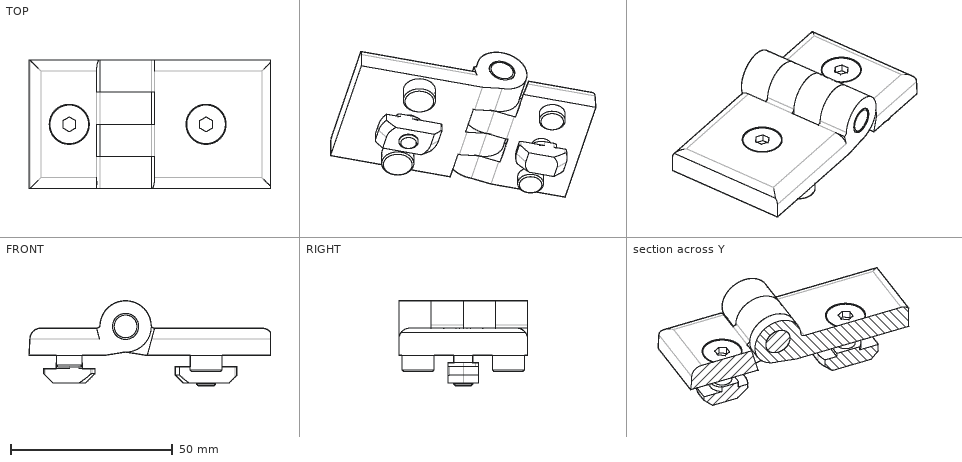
import cadquery as cq
import math


hinge_width = 40.0
hinge_height = 26.5
narrow_leaf_length = 30.0
wide_leaf_length = 45.0

leaf_thickness = 8.5
leaf_bottom = -9.0
leaf_top = leaf_bottom + leaf_thickness
edge_radius = 3.45
narrow_end_draft = 3.0
wide_end_flat_inset = 2.7
inner_edge = 9.0
inner_face_tilt = 15.0
inner_edge_bottom = inner_edge - leaf_thickness * math.tan(math.radians(inner_face_tilt))

barrel_diameter = 16.0
barrel_radius = barrel_diameter / 2
relief_half_width = 6.3
knuckle_count = 4
knuckle_length = hinge_width / knuckle_count
pin_diameter = 8.1
pin_chamfer = 0.5

barrel_blend_radius = (inner_edge**2 + leaf_top**2 - barrel_radius**2) / (2 * (barrel_radius - leaf_top))
blend_center_z = leaf_top + barrel_blend_radius

narrow_screw_x = 17.5
wide_screw_x = 25.0
head_diameter = 12.0
head_rim_gap = 0.2
hex_across_flats = 4.0
hex_depth = 2.25
shank_diameter = 6.0
tip_diameter = 4.8
tip_chamfer_height = 0.6
tip_bottom = barrel_radius - hinge_height

post_spacing = 28.05
post_chamfer = 0.5
narrow_post_diameter = 8.0
narrow_post_height = 3.5
wide_post_diameter = 10.0
wide_post_height = 5.0

nut_bottom = -17.6
nut_corner_radius = 0.5
neck_corner_radius = 1.0
narrow_nut = dict(
    length=16.0, width=8.1, height=4.5, end_chamfer=3.0, neck_height=1.7, soft_arc_corners=True
)
wide_nut = dict(
    length=19.1, width=9.6, height=5.2, end_chamfer=2.5, neck_height=1.2, soft_arc_corners=False
)


def side_extrusion(outline, y_start, length):
    """Extrude an XZ outline toward +Y from y_start."""
    return outline.extrude(-length).translate((0, y_start, 0))


def rounded_section(length):
    """Bar along +X whose two long top edges are rounded."""
    half = hinge_width / 2
    corner = edge_radius * math.sqrt(0.5)
    return (
        cq.Workplane("YZ")
        .moveTo(-half, leaf_bottom)
        .lineTo(half, leaf_bottom)
        .lineTo(half, leaf_top - edge_radius)
        .threePointArc(
            (half - edge_radius + corner, leaf_top - edge_radius + corner),
            (half - edge_radius, leaf_top),
        )
        .lineTo(edge_radius - half, leaf_top)
        .threePointArc(
            (edge_radius - corner - half, leaf_top - edge_radius + corner),
            (-half, leaf_top - edge_radius),
        )
        .close()
        .extrude(length)
    )


def narrow_plate_profile():
    """Plate with a drafted outer end, rounded into the top."""
    draft = math.radians(narrow_end_draft)
    straight_height = leaf_thickness - edge_radius * (1 - math.sin(draft))
    tangent_x = narrow_leaf_length - straight_height * math.tan(draft)
    center_x = tangent_x - edge_radius * math.cos(draft)
    center_z = leaf_top - edge_radius
    middle = (math.pi / 2 + draft) / 2
    return (
        cq.Workplane("XZ")
        .moveTo(inner_edge_bottom, leaf_bottom)
        .lineTo(narrow_leaf_length, leaf_bottom)
        .lineTo(tangent_x, leaf_bottom + straight_height)
        .threePointArc(
            (center_x + edge_radius * math.cos(middle), center_z + edge_radius * math.sin(middle)),
            (center_x, leaf_top),
        )
        .lineTo(inner_edge, leaf_top)
        .close()
    )


def wide_plate_profile():
    """Plate with a vertical outer end that cuts the top rounding short."""
    center_x = wide_leaf_length - wide_end_flat_inset
    center_z = leaf_top - edge_radius
    end_angle = math.acos(wide_end_flat_inset / edge_radius)
    middle = (math.pi / 2 + end_angle) / 2
    return (
        cq.Workplane("XZ")
        .moveTo(inner_edge_bottom, leaf_bottom)
        .lineTo(wide_leaf_length, leaf_bottom)
        .lineTo(wide_leaf_length, center_z + edge_radius * math.sin(end_angle))
        .threePointArc(
            (center_x + edge_radius * math.cos(middle), center_z + edge_radius * math.sin(middle)),
            (center_x, leaf_top),
        )
        .lineTo(inner_edge, leaf_top)
        .close()
    )


def knuckle(index):
    """Barrel segment with its web to the plate; index 0 is the segment at the -Y end."""
    y_start = -hinge_width / 2 + index * knuckle_length
    to_barrel = barrel_radius / (barrel_radius + barrel_blend_radius)
    tangent_x = inner_edge * to_barrel
    tangent_z = blend_center_z * to_barrel
    blend_angle = math.atan2(-blend_center_z, -inner_edge) % (2 * math.pi)
    middle = (blend_angle + 1.5 * math.pi) / 2
    outline = (
        cq.Workplane("XZ")
        .moveTo(0, -barrel_radius)
        .lineTo(relief_half_width, leaf_bottom)
        .lineTo(inner_edge_bottom, leaf_bottom)
        .lineTo(inner_edge, leaf_top)
        .threePointArc(
            (
                inner_edge + barrel_blend_radius * math.cos(middle),
                blend_center_z + barrel_blend_radius * math.sin(middle),
            ),
            (tangent_x, tangent_z),
        )
        .threePointArc((-barrel_radius, 0), (0, -barrel_radius))
        .close()
    )
    return side_extrusion(outline, y_start, knuckle_length)


def pin_cylinder():
    """Plain cylinder on the hinge axis, as long as the hinge is wide."""
    return side_extrusion(cq.Workplane("XZ").circle(pin_diameter / 2), -hinge_width / 2, hinge_width)


def posts(x, diameter, height):
    """Two chamfered locating posts under a plate."""
    return (
        cq.Workplane("XY", origin=(x, 0, leaf_bottom))
        .pushPoints([(0, -post_spacing / 2), (0, post_spacing / 2)])
        .circle(diameter / 2)
        .extrude(-height)
        .faces("<Z")
        .chamfer(post_chamfer)
    )


def screw_head_recess(x):
    """V-shaped gap left by the countersink around the flush screw head, and its hexagon socket."""
    top = cq.Workplane("XY", origin=(x, 0, leaf_top))
    head_radius = head_diameter / 2
    rim = top.circle(head_radius + head_rim_gap).workplane(offset=-head_rim_gap).circle(head_radius).loft()
    gap = rim.cut(top.circle(head_radius).extrude(-head_rim_gap))
    hex_corners = hex_across_flats / math.cos(math.pi / 6)
    socket = top.transformed(rotate=(0, 0, 90)).polygon(6, hex_corners).extrude(-hex_depth)
    return gap.union(socket)


def screw_shank(x):
    """Screw shank from the underside of the plate to the bottom of the nut."""
    start = cq.Workplane("XY", origin=(x, 0, leaf_bottom))
    return start.circle(shank_diameter / 2).extrude(nut_bottom - leaf_bottom)


def screw_tip(x):
    """Chamfered screw end that sticks out below the nut."""
    chamfer_top = tip_bottom + tip_chamfer_height
    full = cq.Workplane("XY", origin=(x, 0, nut_bottom)).circle(shank_diameter / 2)
    cone = cq.Workplane("XY", origin=(x, 0, tip_bottom)).circle(tip_diameter / 2)
    cone = cone.workplane(offset=tip_chamfer_height).circle(shank_diameter / 2).loft()
    return full.extrude(chamfer_top - nut_bottom).union(cone)


def opposite_quadrants(size, height, x_side):
    """Blocks filling one diagonal pair of quadrants: (x_side, -Y) and the one opposite to it."""
    block = cq.Workplane("XY").box(size, size, height, centered=(True, True, False))
    near = block.translate((x_side * size / 2, -size / 2, 0))
    far = block.translate((-x_side * size / 2, size / 2, 0))
    return near.add(far).combine()


def slot_nut(x, length, width, height, end_chamfer, neck_height, soft_arc_corners):
    """Quarter-turn nut: rounded in two opposite quadrants, square in the other two."""
    bar = cq.Workplane("XY").box(length, width, height, centered=(True, True, False))
    disc = cq.Workplane("XY").circle(length / 2).extrude(height)
    arc_ends = disc.intersect(bar)
    if soft_arc_corners:
        arc_ends = arc_ends.edges("|Z").fillet(nut_corner_radius)
    arc_ends = arc_ends.intersect(disc.faces("<Z").chamfer(end_chamfer))
    bar = bar.edges("<Z and |Y").chamfer(end_chamfer).edges("|Z").fillet(nut_corner_radius)
    base = arc_ends.intersect(opposite_quadrants(length, height, -1))
    base = base.union(bar.intersect(opposite_quadrants(length, height, 1)))

    round_neck = cq.Workplane("XY").circle(width / 2).extrude(neck_height)
    square_neck = cq.Workplane("XY").rect(width, width).extrude(neck_height)
    square_neck = square_neck.edges("|Z").fillet(neck_corner_radius)
    neck = square_neck.intersect(opposite_quadrants(width, neck_height, -1)).union(round_neck)

    nut = base.union(neck.translate((0, 0, height)))
    return nut.translate((x, 0, nut_bottom))


def leaf(profile, length, screw_x, fastener, knuckle_indexes):
    """One leaf, pointing to +X, with its knuckles and fasteners as a single body."""
    plate = side_extrusion(profile, -hinge_width / 2, hinge_width)
    body = plate.intersect(rounded_section(length))
    for index in knuckle_indexes:
        body = body.union(knuckle(index))
    body = body.cut(pin_cylinder()).cut(screw_head_recess(screw_x))
    return body.union(fastener)


def make_narrow_leaf():
    """Leaf on the -X side; its screw ends flush with the nut."""
    fastener = (
        posts(narrow_screw_x, narrow_post_diameter, narrow_post_height)
        .union(screw_shank(narrow_screw_x))
        .union(slot_nut(narrow_screw_x, **narrow_nut))
    )
    built = leaf(narrow_plate_profile(), narrow_leaf_length, narrow_screw_x, fastener, (0, 2))
    return built.mirror("YZ")


def make_wide_leaf():
    """Leaf on the +X side; its screw passes through the nut."""
    fastener = (
        posts(wide_screw_x, wide_post_diameter, wide_post_height)
        .union(screw_shank(wide_screw_x))
        .union(screw_tip(wide_screw_x))
        .union(slot_nut(wide_screw_x, **wide_nut))
    )
    return leaf(wide_plate_profile(), wide_leaf_length, wide_screw_x, fastener, (1, 3))


def make_pin():
    """Hinge pin with chamfered ends, flush with the outer knuckles."""
    return pin_cylinder().faces("<Y or >Y").chamfer(pin_chamfer)


narrow_leaf = make_narrow_leaf()
wide_leaf = make_wide_leaf()
pin = make_pin()

result = cq.Compound.makeCompound([narrow_leaf.val(), wide_leaf.val(), pin.val()])